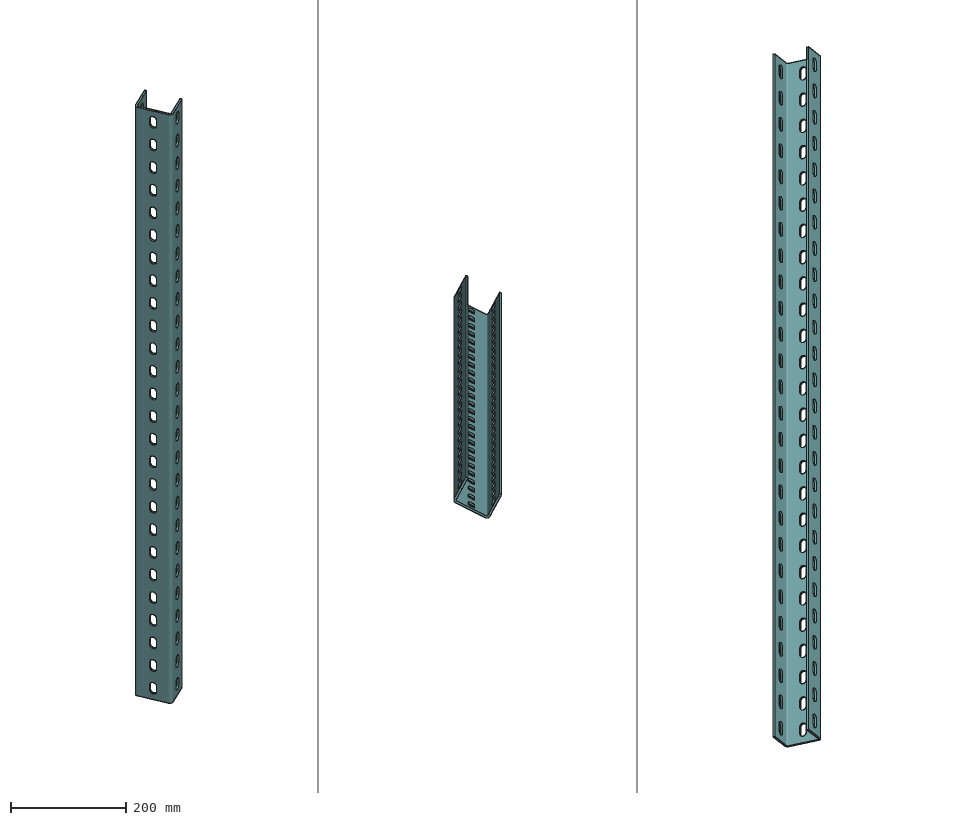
import cadquery as cq

WIDTH = 70.0
DEPTH = 50.0
LENGTH = 1300.0

THICKNESS = 4.0
OUTER_BEND_RADIUS = 6.0
INNER_BEND_RADIUS = OUTER_BEND_RADIUS - THICKNESS

SLOT_PITCH = 50.0
SLOT_COUNT = int(LENGTH // SLOT_PITCH)
FIRST_SLOT_Z = (LENGTH - (SLOT_COUNT - 1) * SLOT_PITCH) / 2
SLOT_LENGTH = 25.0
SLOT_WIDTH = 12.5
FLANGE_SLOT_Y = 27.0

UPRIGHT = 90.0


def channel():
    """U channel with its web on Y = 0, open toward +Y, standing on Z = 0."""
    outer = (
        cq.Workplane("XY")
        .box(WIDTH, DEPTH, LENGTH, centered=(True, False, False))
        .edges("|Z and <Y")
        .fillet(OUTER_BEND_RADIUS)
    )
    inner = (
        cq.Workplane("XY")
        .box(WIDTH - 2 * THICKNESS, DEPTH, LENGTH, centered=(True, False, False))
        .edges("|Z and <Y")
        .fillet(INNER_BEND_RADIUS)
        .translate((0, THICKNESS, 0))
    )
    return outer.cut(inner)


def slot_row(plane, across, reach):
    """Row of upright slot cutters, extruded to both sides of the given plane."""
    centers = [(across, FIRST_SLOT_Z + i * SLOT_PITCH) for i in range(SLOT_COUNT)]
    return (
        cq.Workplane(plane)
        .pushPoints(centers)
        .slot2D(SLOT_LENGTH, SLOT_WIDTH, UPRIGHT)
        .extrude(reach, both=True)
    )


web_slots = slot_row("XZ", 0, 2 * THICKNESS)
flange_slots = slot_row("YZ", FLANGE_SLOT_Y, WIDTH)

result = channel().cut(web_slots).cut(flange_slots)